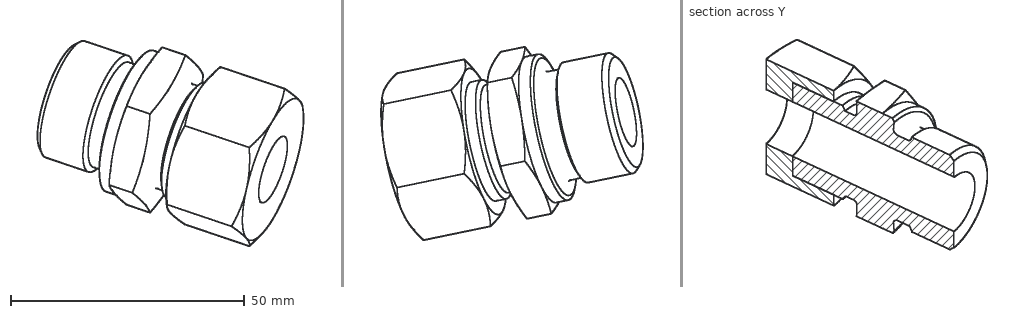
import cadquery as cq
import math


across_flats = 32.0
flat_radius = across_flats / 2
corner_radius = flat_radius / math.cos(math.radians(30))
bore_radius = 7.5

thread_end_x = 11.25
undercut_x = 11.9
seal_edge_x = 15.9
hex_start_x = 19.0
hex_end_x = 26.0
neck_end_x = 28.95
nut_thread_x = 29.65
nut_start_x = 32.0
body_end_x = 43.0
nut_end_x = 50.0

thread_radius = 13.2
lead_chamfer = 1.15
undercut_radius = 11.9
undercut_fillet = 1.1
seal_edge_radius = 15.05
collar_radius = flat_radius
collar_chamfer_length = 0.45
neck_radius = 11.85
neck_fillet = 0.75
nut_thread_radius = 13.05

seal_dish_depth = 0.2

body_hex_chamfer_angle = 17.0
nut_hex_chamfer_angle = 30.0


def cylinder(start_x, end_x, radius):
    """Solid cylinder on the X axis."""
    return cq.Workplane("YZ").workplane(offset=start_x).circle(radius).extrude(end_x - start_x)


def revolve_about_x(profile):
    """Turn a closed XY profile about the X axis."""
    return profile.revolve(360, (0, 0, 0), (1, 0, 0))


def chamfered_hexagon(start_x, end_x, chamfer_angle):
    """Hexagonal prism with corners on +Y and -Y, both ends turned to a cone."""
    prism = (
        cq.Workplane("YZ")
        .workplane(offset=start_x)
        .polygon(6, 2 * corner_radius)
        .extrude(end_x - start_x)
    )
    chamfer_length = (corner_radius - flat_radius) * math.tan(math.radians(chamfer_angle))
    envelope = revolve_about_x(
        cq.Workplane("XY")
        .moveTo(start_x, 0)
        .lineTo(start_x, flat_radius)
        .lineTo(start_x + chamfer_length, corner_radius)
        .lineTo(end_x - chamfer_length, corner_radius)
        .lineTo(end_x, flat_radius)
        .lineTo(end_x, 0)
        .close()
    )
    return prism.intersect(envelope)


def make_male_end():
    """Male thread, undercut and collar with its sealing edge."""
    fillet_end_x = seal_edge_x + seal_dish_depth
    fillet_start_x = fillet_end_x - undercut_fillet
    fillet_top = undercut_radius + undercut_fillet
    fillet_mid_offset = undercut_fillet * math.sin(math.radians(45))
    return revolve_about_x(
        cq.Workplane("XY")
        .moveTo(0, 0)
        .lineTo(0, thread_radius - lead_chamfer)
        .lineTo(lead_chamfer, thread_radius)
        .lineTo(thread_end_x, thread_radius)
        .lineTo(undercut_x, undercut_radius)
        .lineTo(fillet_start_x, undercut_radius)
        .threePointArc(
            (fillet_start_x + fillet_mid_offset, fillet_top - fillet_mid_offset),
            (fillet_end_x, fillet_top),
        )
        .lineTo(seal_edge_x, seal_edge_radius)
        .lineTo(seal_edge_x + collar_chamfer_length, collar_radius)
        .lineTo(hex_start_x, collar_radius)
        .lineTo(hex_start_x, 0)
        .close()
    )


def make_nut_end():
    """Neck behind the hexagon and the thread that carries the nut."""
    fillet_top = neck_radius + neck_fillet
    fillet_mid_offset = neck_fillet * math.sin(math.radians(45))
    return revolve_about_x(
        cq.Workplane("XY")
        .moveTo(hex_end_x, 0)
        .lineTo(hex_end_x, fillet_top)
        .threePointArc(
            (hex_end_x + neck_fillet - fillet_mid_offset, fillet_top - fillet_mid_offset),
            (hex_end_x + neck_fillet, neck_radius),
        )
        .lineTo(neck_end_x, neck_radius)
        .lineTo(nut_thread_x, nut_thread_radius)
        .lineTo(body_end_x, nut_thread_radius)
        .lineTo(body_end_x, 0)
        .close()
    )


def make_body():
    """Fitting body with its through bore."""
    hexagon = chamfered_hexagon(hex_start_x, hex_end_x, body_hex_chamfer_angle)
    blank = make_male_end().union(hexagon).union(make_nut_end())
    return blank.cut(cylinder(0, body_end_x, bore_radius))


def make_union_nut():
    """Union nut: a socket for the body thread, then the bore carried on through."""
    hexagon = chamfered_hexagon(nut_start_x, nut_end_x, nut_hex_chamfer_angle)
    socket = cylinder(nut_start_x, body_end_x, nut_thread_radius)
    bore = cylinder(body_end_x, nut_end_x, bore_radius)
    return hexagon.cut(socket).cut(bore)


body = make_body()
union_nut = make_union_nut()

result = cq.Compound.makeCompound([body.val(), union_nut.val()])